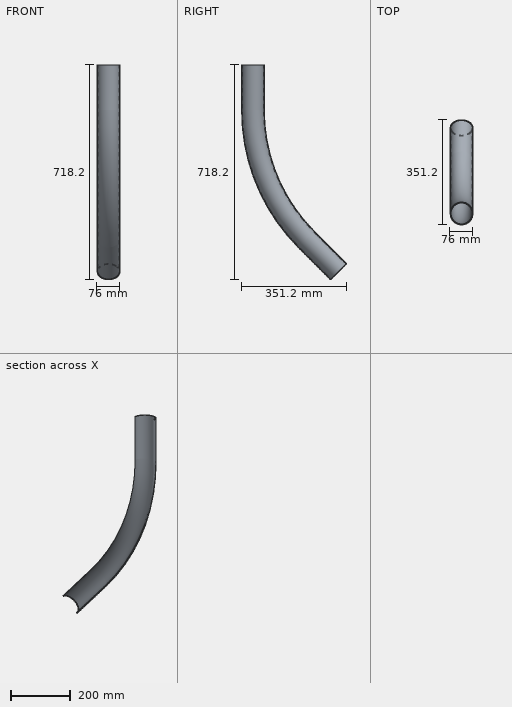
import cadquery as cq
import math

outer_diameter = 76.0
inner_diameter = 70.5
leg_length = 151.5
bend_radius = 612.0
bend_angle = 45.0


def bend_point(angle):
    """Centreline (Y, Z) point of the bend, at an angle in degrees below its upper end."""
    turn = math.radians(angle)
    return bend_radius * (1 - math.cos(turn)), -bend_radius * math.sin(turn)


bend_end = bend_point(bend_angle)
lower_end = (
    bend_end[0] + leg_length * math.sin(math.radians(bend_angle)),
    bend_end[1] - leg_length * math.cos(math.radians(bend_angle)),
)
centreline = (
    cq.Workplane("YZ")
    .moveTo(0, leg_length)
    .lineTo(0, 0)
    .threePointArc(bend_point(bend_angle / 2), bend_end)
    .lineTo(*lower_end)
)

result = (
    cq.Workplane("XY", origin=(0, 0, leg_length))
    .circle(outer_diameter / 2)
    .circle(inner_diameter / 2)
    .sweep(centreline)
)